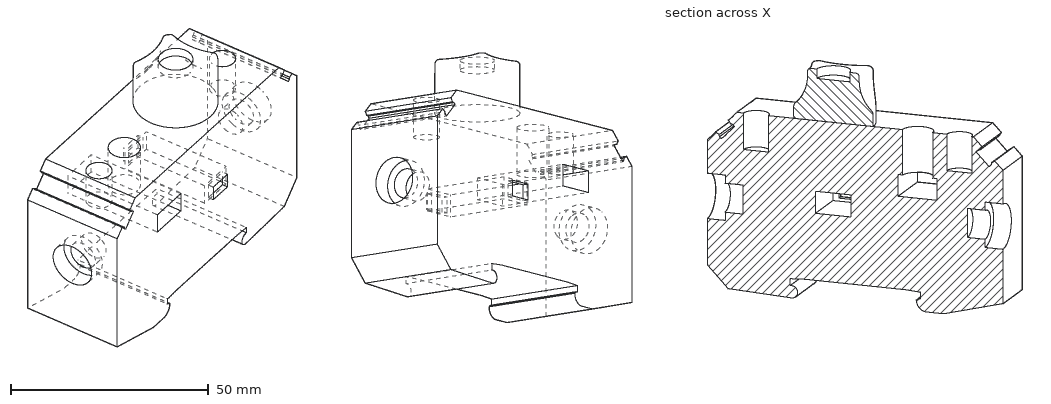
import cadquery as cq
import math

WIDTH = 27.6
LENGTH = 80.0
HOUSING_TOP = 47.5
HALF_LENGTH = LENGTH / 2
CHAMFER = 8.0

FOOT_HEIGHT = 6.4
FOOT_Y = 34.4
FOOT_Z = 0.7
RAMP_HEIGHT = 4.3
RAMP_Y = -23.9

RAIL_HALF = 17.5
RAIL_Z = 5.3
RAIL_EDGE_Z = 5.0
RAIL_FLAT_HALF = 13.6
LIP_Z = 3.4
FIXED_HOOK_RADIUS = LIP_Z / 2
FIXED_HOOK_Y = 17.2
SPRING_HOOK_RADIUS = 2.9
SPRING_HOOK_Y = -19.4
LIP_CHAMFER = LIP_Z - SPRING_HOOK_RADIUS

GROOVE_MOUTH_HALF = 2.4
GROOVE_LIP_HALF = 2.2
GROOVE_FLOOR_HALF = 2.5
GROOVE_LIP_DEPTH = 1.1
GROOVE_UNDERCUT_DEPTH = 1.6
GROOVE_DEPTH = 2.2
GROOVE_OFFSET = 0.1

BORE_Z = 24.6
BORE_DIAMETER = 11.8
BORE_DEPTH = 4.8
INNER_BORE_DIAMETER = 7.5
INNER_BORE_DEPTH = 9.6
SCREW_HOLE_DIAMETER = 6.6
SCREW_HOLE_DEPTH = 9.6
SCREW_HOLE_YS = (-28.2, 26.8)

TEST_Y = -16.9
TEST_WINDOW_LENGTH = 10.4
TEST_WINDOW_HEIGHT = 5.6
TEST_WINDOW_Z = 32.6
TEST_HOLE_DIAMETER = 8.2

KNOB_Y = 5.9
SMALL_WINDOW_LENGTH = 6.3
SMALL_WINDOW_HEIGHT = 4.1
SMALL_WINDOW_Z = 25.9
SIDE_WALL = 1.5
CHAMBER_LENGTH = 9.5
CHAMBER_HEIGHT = 5.7

KNOB_DIAMETER = 21.6
KNOB_HEIGHT = 13.6
GRIP_COUNT = 4
GRIP_RADIUS = 16.8
GRIP_PROFILE_RADIUS = 10.2
GRIP_UPRIGHT_Z = 11.6
GRIP_NEAREST = 7.0
KNOB_ROUNDING = 1.0
KNOB_HOLE_DIAMETER = 8.8
KNOB_HOLE_DEPTH = 2.5


def side_outline():
    """Closed outline in the YZ plane, starting at the top of the +Y chamfer."""
    diagonal = math.sqrt(0.5)
    return (
        cq.Workplane("YZ")
        .moveTo(HALF_LENGTH - CHAMFER, HOUSING_TOP)
        .lineTo(HALF_LENGTH, HOUSING_TOP - CHAMFER)
        .lineTo(HALF_LENGTH, FOOT_HEIGHT)
        .lineTo(FOOT_Y, FOOT_Z)
        .lineTo(FIXED_HOOK_Y, 0)
        .threePointArc((FIXED_HOOK_Y - FIXED_HOOK_RADIUS, FIXED_HOOK_RADIUS), (FIXED_HOOK_Y, LIP_Z))
        .lineTo(RAIL_HALF, LIP_Z)
        .lineTo(RAIL_HALF, RAIL_EDGE_Z)
        .lineTo(RAIL_FLAT_HALF, RAIL_Z)
        .lineTo(-RAIL_FLAT_HALF, RAIL_Z)
        .lineTo(-RAIL_HALF, RAIL_EDGE_Z)
        .lineTo(-RAIL_HALF, LIP_Z)
        .lineTo(SPRING_HOOK_Y + SPRING_HOOK_RADIUS - LIP_CHAMFER, LIP_Z)
        .lineTo(SPRING_HOOK_Y + SPRING_HOOK_RADIUS, SPRING_HOOK_RADIUS)
        .threePointArc(
            (SPRING_HOOK_Y + SPRING_HOOK_RADIUS * diagonal, SPRING_HOOK_RADIUS * (1 - diagonal)),
            (SPRING_HOOK_Y, 0),
        )
        .lineTo(RAMP_Y, 0)
        .lineTo(-HALF_LENGTH, RAMP_HEIGHT)
        .lineTo(-HALF_LENGTH, HOUSING_TOP - CHAMFER)
        .lineTo(-HALF_LENGTH + CHAMFER, HOUSING_TOP)
        .close()
    )


def label_groove():
    """Cutter for the groove in the +Y chamfer, undercut behind a pair of snap lips."""
    slope = math.sqrt(0.5)
    centre_y = HALF_LENGTH - CHAMFER / 2 + GROOVE_OFFSET * slope
    centre_z = HOUSING_TOP - CHAMFER / 2 - GROOVE_OFFSET * slope
    chamfer_plane = cq.Plane(
        origin=(-WIDTH / 2, centre_y, centre_z), xDir=(0, slope, -slope), normal=(1, 0, 0)
    )
    return (
        cq.Workplane(chamfer_plane)
        .moveTo(-GROOVE_MOUTH_HALF, 0)
        .lineTo(-GROOVE_LIP_HALF, -GROOVE_LIP_DEPTH)
        .lineTo(-GROOVE_FLOOR_HALF, -GROOVE_UNDERCUT_DEPTH)
        .lineTo(-GROOVE_FLOOR_HALF, -GROOVE_DEPTH)
        .lineTo(GROOVE_FLOOR_HALF, -GROOVE_DEPTH)
        .lineTo(GROOVE_FLOOR_HALF, -GROOVE_UNDERCUT_DEPTH)
        .lineTo(GROOVE_LIP_HALF, -GROOVE_LIP_DEPTH)
        .lineTo(GROOVE_MOUTH_HALF, 0)
        .close()
        .extrude(WIDTH)
    )


def terminal_bore():
    """Cutter for the stepped bore in the -Y end face."""
    end_face = cq.Workplane("XZ", origin=(0, -HALF_LENGTH, BORE_Z))
    outer = end_face.circle(BORE_DIAMETER / 2).extrude(-BORE_DEPTH)
    inner = end_face.circle(INNER_BORE_DIAMETER / 2).extrude(-INNER_BORE_DEPTH)
    return outer.union(inner)


def top_hole(y, diameter, depth):
    """Cutter for a round hole sunk from the top face."""
    return cq.Workplane("XY", origin=(0, y, HOUSING_TOP)).circle(diameter / 2).extrude(-depth)


def cross_window(y, z, length, height, width=WIDTH):
    """Cutter for a rectangular passage along X, centred on the housing."""
    return cq.Workplane("XY").box(width, length, height).translate((0, y, z))


def make_housing():
    body = side_outline().extrude(WIDTH / 2, both=True)
    for cutter in (label_groove(), terminal_bore()):
        body = body.cut(cutter).cut(cutter.mirror("XZ"))
    for y in SCREW_HOLE_YS:
        body = body.cut(top_hole(y, SCREW_HOLE_DIAMETER, SCREW_HOLE_DEPTH))
    body = body.cut(cross_window(TEST_Y, TEST_WINDOW_Z, TEST_WINDOW_LENGTH, TEST_WINDOW_HEIGHT))
    body = body.cut(top_hole(TEST_Y, TEST_HOLE_DIAMETER, HOUSING_TOP - TEST_WINDOW_Z))
    body = body.cut(cross_window(KNOB_Y, SMALL_WINDOW_Z, SMALL_WINDOW_LENGTH, SMALL_WINDOW_HEIGHT))
    chamber_width = WIDTH - 2 * SIDE_WALL
    return body.cut(
        cross_window(KNOB_Y, SMALL_WINDOW_Z, CHAMBER_LENGTH, CHAMBER_HEIGHT, chamber_width)
    )


def finger_grip():
    """Cutter for the recess on the +X side: a cylinder with a rounded lower edge."""
    flat_radius = GRIP_RADIUS - GRIP_PROFILE_RADIUS
    arc45 = GRIP_PROFILE_RADIUS * math.sqrt(0.5)
    return (
        cq.Workplane("XZ")
        .moveTo(0, GRIP_UPRIGHT_Z - GRIP_PROFILE_RADIUS)
        .lineTo(flat_radius, GRIP_UPRIGHT_Z - GRIP_PROFILE_RADIUS)
        .threePointArc((flat_radius + arc45, GRIP_UPRIGHT_Z - arc45), (GRIP_RADIUS, GRIP_UPRIGHT_Z))
        .lineTo(GRIP_RADIUS, KNOB_HEIGHT)
        .lineTo(0, KNOB_HEIGHT)
        .close()
        .revolve(360, (0, 0), (0, 1))
        .translate((GRIP_NEAREST + GRIP_RADIUS, 0, 0))
    )


def make_knob():
    """Round knob with finger recesses around it and a shallow hole in its top."""
    knob = cq.Workplane("XY").circle(KNOB_DIAMETER / 2).extrude(KNOB_HEIGHT)
    grip = finger_grip()
    for number in range(GRIP_COUNT):
        turn = 360 / GRIP_COUNT * number
        knob = knob.cut(grip.rotate((0, 0, 0), (0, 0, 1), turn))
    knob = knob.edges("not <Z").fillet(KNOB_ROUNDING)
    knob_top = cq.Workplane("XY", origin=(0, 0, KNOB_HEIGHT))
    knob = knob.cut(knob_top.circle(KNOB_HOLE_DIAMETER / 2).extrude(-KNOB_HOLE_DEPTH))
    return knob.translate((0, KNOB_Y, HOUSING_TOP))


housing = make_housing()
knob = make_knob()

result = cq.Compound.makeCompound([housing.val(), knob.val()])